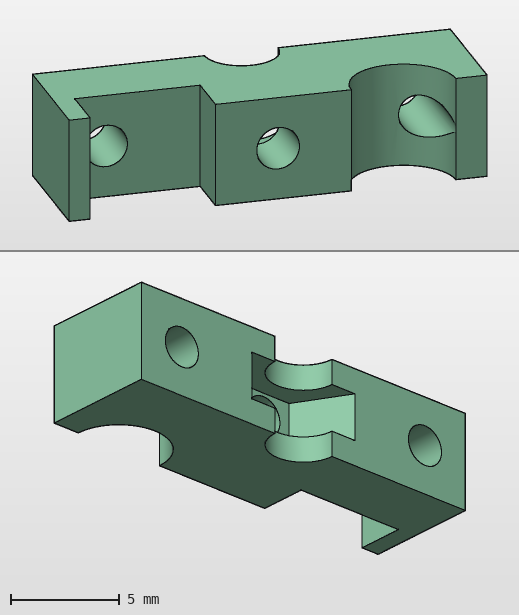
import cadquery as cq
import math

width = 6.0
length = 20.0
height = 5.0
mid_height = height / 2
mid_length = length / 2

hole_diameter = 2.05
end_hole_inset = 2.5
hole_positions = (end_hole_inset, mid_length, length - end_hole_inset)

large_recess_radius = 2.5
large_recess_y = 16.0
small_recess_radius = 1.75
notch_depth = 2.5
notch_length = 6.0
end_wall = 1.0

hex_across_flats = 5.5
hex_across_corners = hex_across_flats / math.cos(math.pi / 6)
hex_height = 2.4


def vertical_cylinder(x, y, radius):
    return cq.Workplane("XY").center(x, y).circle(radius).extrude(height)


def cross_hole(y):
    return (
        cq.Workplane("YZ")
        .center(y, mid_height)
        .circle(hole_diameter / 2)
        .extrude(width)
    )


def notch():
    return cq.Workplane("XY").box(notch_depth, notch_length, height, centered=False).translate(
        (width - notch_depth, end_wall, 0)
    )


def hex_pocket():
    return (
        cq.Workplane("XY")
        .polygon(6, hex_across_corners)
        .extrude(hex_height)
        .rotate((0, 0, 0), (0, 0, 1), 90)
        .translate((0, mid_length, mid_height - hex_height / 2))
    )


result = cq.Workplane("XY").box(width, length, height, centered=False)
result = result.cut(vertical_cylinder(width, large_recess_y, large_recess_radius))
result = result.cut(vertical_cylinder(0, mid_length, small_recess_radius))
result = result.cut(notch())
result = result.cut(hex_pocket())
for hole_y in hole_positions:
    result = result.cut(cross_hole(hole_y))